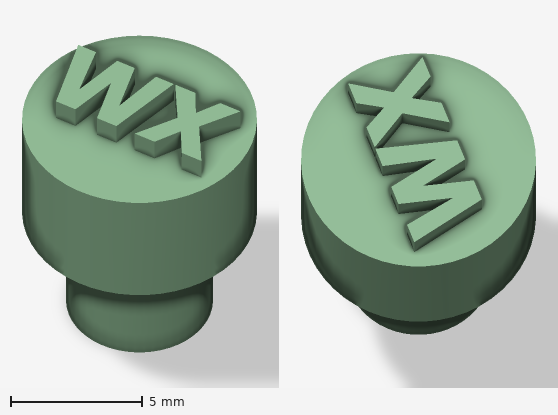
import cadquery as cq

stem_diameter = 5.6
stem_height = 4.8
head_diameter = 8.95
head_height = 5.0

total_height = 10.7
head_top = stem_height + head_height
letter_relief = total_height - head_top
letter_top = 1.52
letter_bottom = -letter_top

w_center = -1.47
w_top_outer = 2.1
w_top_inner = 1.32
w_peak_half = 0.39
w_foot_outer = 1.33
w_foot_inner = 0.47
w_valley_offset = 0.88
w_valley_y = -0.52
w_notch_y = 0.37

x_center = 2.13
x_top_outer = 1.43
x_top_inner = 0.55
x_foot_outer = 1.47
x_foot_inner = 0.59
x_waist_half = 0.47
x_waist_y = 0.03
x_upper_notch_y = 0.6
x_lower_notch_y = -0.52


def cylinder(diameter, height, base):
    return cq.Workplane("XY").workplane(offset=base).circle(diameter / 2).extrude(height)


def raised_letter(center, right_half):
    """Mirror a right-half outline about the letter's centre line and raise it."""
    left_half = [(-x, y) for x, y in reversed(right_half) if x > 0]
    outline = [(center + x, y) for x, y in right_half + left_half]
    base = cq.Workplane("XY").workplane(offset=stem_height)
    return base.polyline(outline).close().extrude(head_height + letter_relief)


letter_w = raised_letter(w_center, [
    (0, w_notch_y),
    (w_foot_inner, letter_bottom),
    (w_foot_outer, letter_bottom),
    (w_top_outer, letter_top),
    (w_top_inner, letter_top),
    (w_valley_offset, w_valley_y),
    (w_peak_half, letter_top),
])

letter_x = raised_letter(x_center, [
    (0, x_lower_notch_y),
    (x_foot_inner, letter_bottom),
    (x_foot_outer, letter_bottom),
    (x_waist_half, x_waist_y),
    (x_top_outer, letter_top),
    (x_top_inner, letter_top),
    (0, x_upper_notch_y),
])

stem = cylinder(stem_diameter, stem_height, 0)
head = cylinder(head_diameter, head_height, stem_height)
result = stem.union(head).union(letter_w).union(letter_x)